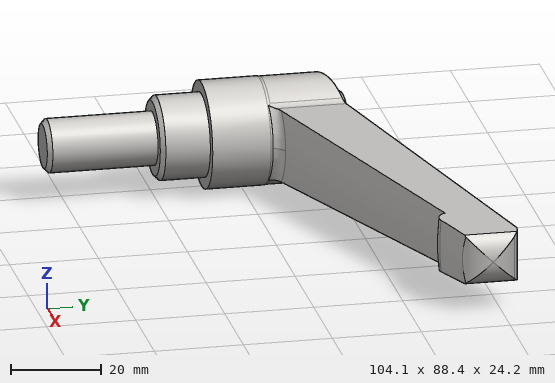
import cadquery as cq
import math


hub_radius = 12.1
upper_hub_radius = 12.0
lower_hub_height = 13.1
hub_cone_height = 0.6
hub_height_on_axis = 27.8
collar_radius = 9.5
collar_length = 11.0
stud_radius = 6.0
stud_end = 35.7
end_chamfer = 1.0
screw_radius = 7.6
screw_top = 31.9
screw_fillet = 0.9

top_angle = 16.0
underside_angle = 20.0
underside_height_on_axis = 10.9
crown_radius = 52.0
overall_length = 104.1
length_past_axis = overall_length - hub_radius

knob_height_on_axis = 7.8
knob_nose_radius = 3.1
knob_start = 76.8
tip_side_radius = 7.5
tip_plan_radius = 7.0
tip_center_y = 46.3
tip_fillet = 3.6

half_width_on_axis = 8.7
half_width_at_tip = 5.7
root_fillet = 2.9

full_depth = 4 * hub_radius
beyond_tip = 1.5 * length_past_axis
pick_margin = 0.1

tip_side_center_x = length_past_axis - tip_side_radius
tip_plan_center_x = length_past_axis - tip_plan_radius


def slope(angle):
    return math.tan(math.radians(angle))


def along_y(radius, start, end):
    """Cylinder on the hub axis from Y = start up to Y = end."""
    disc = cq.Workplane("XZ", origin=(0, start, 0)).circle(radius)
    return disc.extrude(start - end)


def top_height(x):
    return hub_height_on_axis + x * slope(top_angle)


def side_plate(outline):
    """Closed XY outline extruded symmetrically about Z = 0."""
    return outline.close().extrude(full_depth / 2, both=True)


def below_top_plane():
    """Everything under the slanted plane that tops both the hub and the arm."""
    left = -full_depth
    outline = (
        cq.Workplane("XY")
        .moveTo(left, -hub_radius)
        .lineTo(beyond_tip, -hub_radius)
        .lineTo(beyond_tip, top_height(beyond_tip))
        .lineTo(left, top_height(left))
    )
    return side_plate(outline)


def crown(height_on_axis):
    """Large cylinder whose lowest line is the underside at the given height."""
    angle = math.radians(underside_angle)
    direction = cq.Vector(math.cos(angle), math.sin(angle), 0)
    upward = cq.Vector(-math.sin(angle), math.cos(angle), 0)
    lowest_point = cq.Vector(0, height_on_axis, 0)
    start = lowest_point + upward * crown_radius - direction * crown_radius
    length = crown_radius + 2 * beyond_tip
    return cq.Workplane(obj=cq.Solid.makeCylinder(crown_radius, length, start, direction))


def sloped_bar(start_x, height_on_axis):
    """Bar under the top plane, crowned below, with its start wall square to the underside."""
    start_y = height_on_axis + start_x * slope(underside_angle)
    wall_height = hub_height_on_axis
    wall_top_x = start_x - wall_height * slope(underside_angle)
    outline = (
        cq.Workplane("XY")
        .moveTo(start_x, start_y)
        .lineTo(beyond_tip, height_on_axis + beyond_tip * slope(underside_angle))
        .lineTo(beyond_tip, top_height(beyond_tip) + wall_height)
        .lineTo(wall_top_x, start_y + wall_height)
    )
    bar = side_plate(outline).intersect(crown(height_on_axis))
    return bar.intersect(below_top_plane())


def make_core():
    """Upper hub with its slanted top, carried down to the lower face of the hub."""
    return along_y(upper_hub_radius, 0, top_height(hub_radius)).intersect(below_top_plane())


def make_lower_hub():
    """Slightly larger lower hub, with a short cone up to the upper hub."""
    outline = (
        cq.Workplane("XY")
        .lineTo(hub_radius, 0)
        .lineTo(hub_radius, lower_hub_height)
        .lineTo(upper_hub_radius, lower_hub_height + hub_cone_height)
        .lineTo(0, lower_hub_height + hub_cone_height)
        .close()
    )
    return outline.revolve(360, (0, 0), (0, 1))


def make_knob():
    """Deeper end of the arm with a rounded nose facing the hub."""
    bar = sloped_bar(knob_start, knob_height_on_axis)
    corner_y = knob_height_on_axis + knob_start * slope(underside_angle)
    at_corner = cq.selectors.NearestToPointSelector((knob_start, corner_y, 0))
    return bar.edges(at_corner).fillet(knob_nose_radius)


def make_planform():
    """Tapered width of the arm with a round end, as a block along Y."""
    contact_x = tip_plan_center_x + math.sqrt(tip_plan_radius**2 - half_width_at_tip**2)
    outline = (
        cq.Workplane("XZ", origin=(0, -beyond_tip, 0))
        .moveTo(0, -half_width_on_axis)
        .lineTo(contact_x, -half_width_at_tip)
        .threePointArc((length_past_axis, 0), (contact_x, half_width_at_tip))
        .lineTo(0, half_width_on_axis)
        .close()
    )
    return outline.extrude(-2 * beyond_tip)


def tip_corner(height_on_axis, angle):
    """Point where a sloped line of the side profile meets the round tip."""
    rise = slope(angle)
    offset = height_on_axis + tip_side_center_x * rise - tip_center_y
    a = 1 + rise**2
    b = rise * offset
    c = offset**2 - tip_side_radius**2
    from_center = (math.sqrt(b**2 - a * c) - b) / a
    x = tip_side_center_x + from_center
    return x, height_on_axis + x * rise


def make_tip_limit(upper_corner, lower_corner):
    """Plate that ends in the tip arc between the two corners."""
    outline = (
        cq.Workplane("XY")
        .moveTo(0, -length_past_axis)
        .lineTo(lower_corner[0], -length_past_axis)
        .lineTo(*lower_corner)
        .threePointArc((length_past_axis, tip_center_y), upper_corner)
        .lineTo(upper_corner[0], length_past_axis)
        .lineTo(0, length_past_axis)
    )
    return side_plate(outline)


def make_arm():
    upper_corner = tip_corner(hub_height_on_axis, top_angle)
    lower_corner = tip_corner(knob_height_on_axis, underside_angle)
    arm = sloped_bar(0, underside_height_on_axis).union(make_knob())
    arm = arm.intersect(make_tip_limit(upper_corner, lower_corner))
    at_upper_corner = cq.selectors.NearestToPointSelector((*upper_corner, 0))
    arm = arm.edges("|Z").edges(at_upper_corner).fillet(tip_fillet)
    return arm.intersect(make_planform())


def make_handle():
    """Upper hub and arm joined, with the arm root blended into the hub wall."""
    handle = make_core().union(make_arm())
    root = cq.selectors.BoxSelector(
        (hub_radius / 2, 0, -half_width_on_axis - pick_margin),
        (hub_radius + pick_margin, hub_height_on_axis, half_width_on_axis + pick_margin),
    )
    return handle.edges(root).fillet(root_fillet)


screw = along_y(screw_radius, 0, screw_top).faces(">Y").edges().fillet(screw_fillet)
collar = along_y(collar_radius, -collar_length, 0).faces("<Y").chamfer(end_chamfer)
stud = along_y(stud_radius, -stud_end, 0).faces("<Y").chamfer(end_chamfer)

result = make_handle().union(make_lower_hub()).union(screw).union(collar).union(stud)